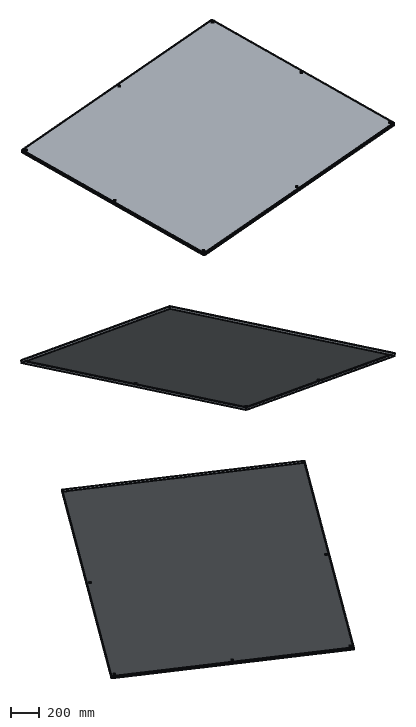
import cadquery as cq

width = 1728.0
length = 1981.0
height = 22.0

sheet = 2.4
bevel_inset = 2.0
bevel_drop = 4.4

corner_gap_x = 4.0
corner_gap_y = 2.0

hole_diameter = 14.3
hole_inset_x = 24.0
hole_inset_y = 18.8


def centred_box(size_x, size_y, bottom, top):
    """Box centred on the Z axis between two heights."""
    return cq.Workplane("XY").workplane(offset=bottom).rect(size_x, size_y).extrude(top - bottom)


def bevelled_rim():
    """Top band of the panel, narrowing evenly on all sides towards the top face."""
    return (
        cq.Workplane("XY")
        .workplane(offset=height - bevel_drop)
        .rect(width, length)
        .workplane(offset=bevel_drop)
        .rect(width - 2 * bevel_inset, length - 2 * bevel_inset)
        .loft(ruled=True)
    )


body = centred_box(width, length, 0, height - bevel_drop).union(bevelled_rim())
cavity = centred_box(width - 2 * sheet, length - 2 * sheet, 0, height - sheet)
tray = body.cut(cavity)

corner_reliefs = (
    cq.Workplane("XY")
    .rect(width, length, forConstruction=True)
    .vertices()
    .rect(2 * corner_gap_x, 2 * corner_gap_y)
    .extrude(height - bevel_drop)
)

hole_x = width / 2 - hole_inset_x
hole_y = length / 2 - hole_inset_y
hole_centres = [
    (column * hole_x, row * hole_y)
    for column in (-1, 0, 1)
    for row in (-1, 0, 1)
    if (column, row) != (0, 0)
]
holes = cq.Workplane("XY").pushPoints(hole_centres).circle(hole_diameter / 2).extrude(height)

result = tray.cut(corner_reliefs).cut(holes)